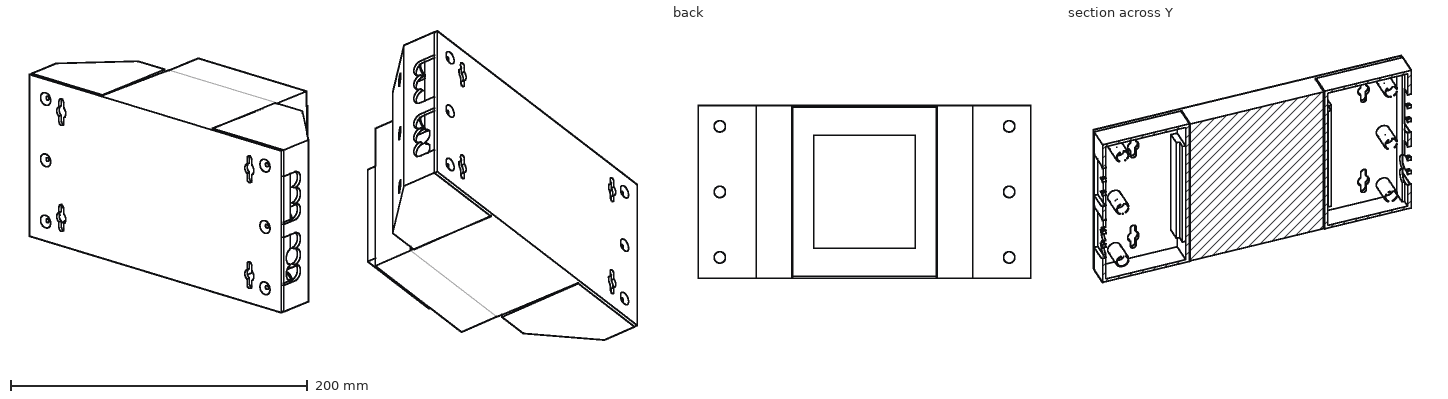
import cadquery as cq

length = 224.3
height = 116.6
depth = 117.5

plate_thickness = 2.5
plate_end_inset = 0.2
housing_half_width = 48.5
housing_depth = 70.6

rear_body_half_width = 48.2
rear_body_height = 114.0
rear_body_back = 100.5
rear_block_width = 68.6
rear_block_height = 76.3

cover_gap = 0.7
cover_back = 67.0
cover_end_depth = 28.0
cover_wall = 2.7

screw_inset = 14.5
screw_spacing = 44.2
countersink_diameter = 9.0
countersink_tip_diameter = 2.7
countersink_depth = 2.0
post_diameter = 12.0
post_foot_diameter = 9.5
post_shoulder = 21.3
well_diameter = 7.6
well_floor = 11.2

keyhole_inset = 28.5
keyhole_height = 38.1
keyhole_length = 19.0
keyhole_slot_width = 4.0
keyhole_head_diameter = 8.0

entry_height = 34.5
entry_count = 3
entry_centre = 22.0
entry_axis = 14.0
flange_top = 12.3
flange_thickness = 1.8
open_notches = 2

ledge_top = 17.7
ledge_height = 80.7
ledge_width = 2.2
ledge_step_width = 4.5

half_length = length / 2
half_height = height / 2
entry_pitch = entry_height / entry_count
entry_offsets = [(i - (entry_count - 1) / 2) * entry_pitch for i in range(entry_count)]


def box(x_range, y_range, z_range):
    """Box between pairs of X, Y and Z limits."""
    sizes = [high - low for low, high in (x_range, y_range, z_range)]
    corner = (x_range[0], y_range[0], z_range[0])
    return cq.Workplane("XY").box(*sizes, centered=False).translate(corner)


def y_cylinder(diameter, x, z, start, end):
    """Cylinder along +Y between two Y positions."""
    axis = cq.Vector(0, 1, 0)
    solid = cq.Solid.makeCylinder(diameter / 2, end - start, cq.Vector(x, start, z), axis)
    return cq.Workplane(obj=solid)


def tapered_slab(half_width, back):
    """Slab starting at Y = 0 whose top and bottom slope towards the rear body."""
    taper = (half_height - rear_body_height / 2) / housing_depth
    back_z = half_height - taper * back
    corners = [(0, half_height), (back, back_z), (back, -back_z), (0, -half_height)]
    return cq.Workplane("YZ").polyline(corners).close().extrude(half_width, both=True)


def cover_outline(front):
    """Outline of the left cover in the XY plane, with its 45 degree outer corner."""
    inner_x = -housing_half_width - cover_gap
    slope_run = cover_back - cover_end_depth
    return cq.Workplane("XY").polyline([
        (-half_length, front),
        (inner_x, front),
        (inner_x, cover_back),
        (-half_length + slope_run, cover_back),
        (-half_length, cover_end_depth),
    ]).close()


def cable_entry(z):
    """Cutter for one cable entry: a scalloped window through the end wall."""
    x_range = (-half_length, -half_length + cover_wall)
    z_range = (z - entry_height / 2, z + entry_height / 2)
    cutter = box(x_range, (plate_thickness, entry_axis), z_range)
    return cutter.union(entry_circles(z, entry_offsets, x_range))


def entry_circles(z, offsets, x_range):
    """Row of round cutters along X."""
    points = [(entry_axis, z + offset) for offset in offsets]
    plane = cq.Workplane("YZ", origin=(x_range[0], 0, 0))
    return plane.pushPoints(points).circle(entry_pitch / 2).extrude(x_range[1] - x_range[0])


def left_cover():
    """Hollow left cover with screw posts, cable entries, flange and stepped ledge."""
    shell = cover_outline(plate_thickness).extrude(half_height, both=True)
    cavity = cover_outline(plate_thickness - cover_wall).offset2D(-cover_wall)
    cavity = cavity.extrude(half_height - cover_wall, both=True)
    cover = shell.cut(cavity)

    flange_x = (-half_length + cover_wall, -half_length + cover_wall + flange_thickness)
    flange_z = (-half_height + cover_wall, half_height - cover_wall)
    flange = box(flange_x, (plate_thickness, flange_top), flange_z)
    flange = flange.cut(entry_circles(-entry_centre, entry_offsets[:open_notches], flange_x))

    for z in (entry_centre, -entry_centre):
        cover = cover.cut(cable_entry(z))
    cover = cover.union(flange)

    wall_x = -housing_half_width - cover_gap - cover_wall
    ledge_z = (-ledge_height / 2, ledge_height / 2)
    for width, top in ((ledge_width, ledge_top), (ledge_step_width, flange_top)):
        ledge = box((wall_x - width, wall_x), (plate_thickness, top), ledge_z)
        cover = cover.union(ledge)

    outer = cover_outline(plate_thickness).extrude(half_height, both=True)
    screw_x = -half_length + screw_inset
    for z in (-screw_spacing, 0, screw_spacing):
        post = y_cylinder(post_diameter, screw_x, z, post_shoulder, cover_back)
        foot = y_cylinder(post_foot_diameter, screw_x, z, plate_thickness, post_shoulder)
        cover = cover.union(foot).union(post.intersect(outer))
        cover = cover.cut(y_cylinder(well_diameter, screw_x, z, well_floor, cover_back))
    return cover


def countersink(x, z):
    """Flat-bottomed conical cutter in the front of the plate."""
    cone = cq.Solid.makeCone(
        countersink_diameter / 2,
        countersink_tip_diameter / 2,
        countersink_depth,
        cq.Vector(x, 0, z),
        cq.Vector(0, 1, 0),
    )
    return cq.Workplane(obj=cone)


def keyhole(x, z):
    """Double-ended keyhole cutter through the plate."""
    plane = cq.Workplane("XZ", origin=(x, 0, z))
    slot = plane.slot2D(keyhole_length, keyhole_slot_width, 90).extrude(-plate_thickness)
    return slot.union(y_cylinder(keyhole_head_diameter, x, z, 0, plate_thickness))


plate = tapered_slab(half_length - plate_end_inset, plate_thickness)
housing = tapered_slab(housing_half_width, housing_depth)
rear_body = box(
    (-rear_body_half_width, rear_body_half_width),
    (housing_depth, rear_body_back),
    (-rear_body_height / 2, rear_body_height / 2),
)
rear_block = box(
    (-rear_block_width / 2, rear_block_width / 2),
    (rear_body_back, depth),
    (-rear_block_height / 2, rear_block_height / 2),
)
result = plate.union(housing).union(rear_body).union(rear_block)

cover = left_cover()
result = result.union(cover).union(cover.mirror("YZ"))

for side in (-1, 1):
    for z in (-screw_spacing, 0, screw_spacing):
        result = result.cut(countersink(side * (half_length - screw_inset), z))
    for z in (-keyhole_height, keyhole_height):
        result = result.cut(keyhole(side * (half_length - keyhole_inset), z))